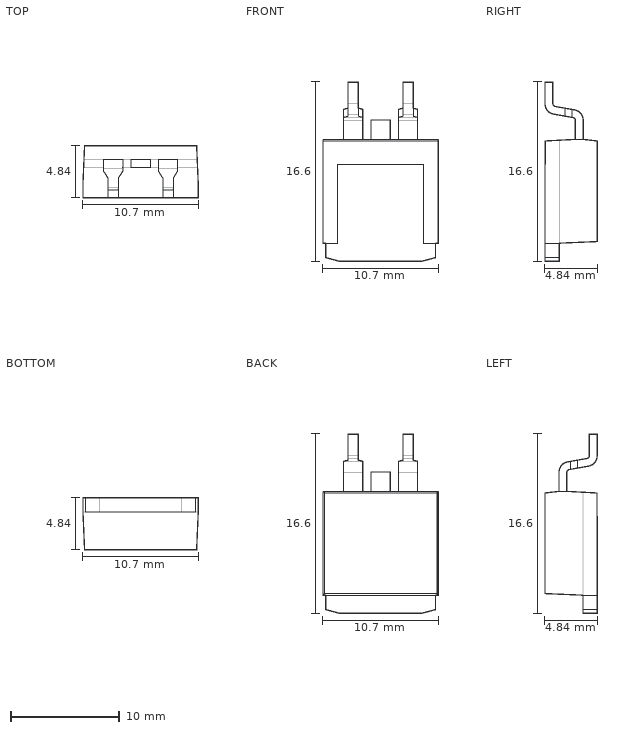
import cadquery as cq
import math


total_height = 16.58
body_width = 10.68
body_depth = 4.84

body_bottom = 1.67
ridge_height = 11.29
shoulder_drop = 0.15
draft_inset = 0.15

tab_width = 10.18
tab_thickness = 1.33
tab_corner_width = 1.3
tab_corner_height = 0.35
pad_width = 7.96
pad_top = 8.97
pad_proud = 0.01

lead_thickness = 0.75
lead_back = 3.55
lead_front = lead_back - lead_thickness
lead_spacing = 5.07
lead_width = 1.79
lead_tip_width = 0.98
neck_start = 2.49
neck_end = 1.84
middle_lead_top = 13.08
lead_embed = 1.0

inner_bend_radius = 0.25
outer_bend_radius = inner_bend_radius + lead_thickness
lead_slope = 10.0
lower_knee_height = 13.56

lead_root = ridge_height - lead_embed


def make_body():
    """Plastic block with a flat band on top, and drafted sides and bottom behind the tab."""
    shoulder_height = ridge_height - shoulder_drop
    side_profile = (
        cq.Workplane("YZ")
        .polyline([
            (pad_proud, body_bottom),
            (tab_thickness, body_bottom),
            (body_depth, body_bottom + draft_inset),
            (body_depth, shoulder_height),
            (lead_back, ridge_height),
            (lead_front, ridge_height),
            (pad_proud, shoulder_height),
        ])
        .close()
        .extrude(body_width / 2, both=True)
    )
    half_width = body_width / 2
    half_back = half_width - draft_inset
    plan = (
        cq.Workplane("XY")
        .polyline([
            (-half_width, 0),
            (half_width, 0),
            (half_width, tab_thickness),
            (half_back, body_depth),
            (-half_back, body_depth),
            (-half_width, tab_thickness),
        ])
        .close()
        .extrude(total_height)
    )
    return side_profile.intersect(plan)


def make_tab():
    """Metal plate: a wide lower end with cut corners and a narrower pad rising in the plastic."""
    half_tab = tab_width / 2
    half_pad = pad_width / 2
    half_end = half_tab - tab_corner_width
    return (
        cq.Workplane("XZ")
        .polyline([
            (-half_end, 0),
            (half_end, 0),
            (half_tab, tab_corner_height),
            (half_tab, body_bottom),
            (half_pad, body_bottom),
            (half_pad, pad_top),
            (-half_pad, pad_top),
            (-half_pad, body_bottom),
            (-half_tab, body_bottom),
            (-half_tab, tab_corner_height),
        ])
        .close()
        .extrude(-tab_thickness)
    )


def make_bent_lead(center_x):
    """Lead that rises, bends forward along a gentle slope, then rises again at the front."""
    slope = math.radians(lead_slope)
    half_thickness = lead_thickness / 2
    upright_y = lead_back - half_thickness
    tip_y = half_thickness
    upper_knee_height = lower_knee_height + (upright_y - tip_y) * math.tan(slope)
    corner_rise = half_thickness * (1 / math.cos(slope) - math.tan(slope))

    lower_inner = (lead_front, lower_knee_height - corner_rise)
    lower_outer = (lead_back, lower_knee_height + corner_rise)
    upper_outer = (0, upper_knee_height - corner_rise)
    upper_inner = (lead_thickness, upper_knee_height + corner_rise)

    strip = (
        cq.Workplane("YZ")
        .polyline([
            (lead_front, lead_root),
            lower_inner,
            upper_outer,
            (0, total_height),
            (lead_thickness, total_height),
            upper_inner,
            lower_outer,
            (lead_back, lead_root),
        ])
        .close()
        .extrude(lead_width / 2, both=True)
    )
    for corners, radius in (
        ((lower_inner, upper_inner), inner_bend_radius),
        ((lower_outer, upper_outer), outer_bend_radius),
    ):
        for y, z in corners:
            strip = strip.edges(cq.NearestToPointSelector((0, y, z))).fillet(radius)

    half_lead = lead_width / 2
    half_tip = lead_tip_width / 2
    plan = (
        cq.Workplane("XY")
        .polyline([
            (-half_tip, 0),
            (half_tip, 0),
            (half_tip, neck_end),
            (half_lead, neck_start),
            (half_lead, lead_back),
            (-half_lead, lead_back),
            (-half_lead, neck_start),
            (-half_tip, neck_end),
        ])
        .close()
        .extrude(total_height)
    )
    return strip.intersect(plan).translate((center_x, 0, 0))


def make_middle_lead():
    """Short straight stub of the cut-off middle lead."""
    return (
        cq.Workplane("XY", origin=(0, lead_front, lead_root))
        .box(lead_width, lead_thickness, middle_lead_top - lead_root, centered=(True, False, False))
    )


result = make_body().union(make_tab()).union(make_middle_lead())
for side in (-1, 1):
    result = result.union(make_bent_lead(side * lead_spacing / 2))